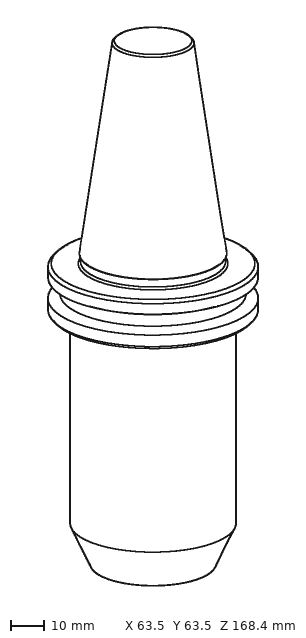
import cadquery as cq

total_height = 168.4
body_radius = 25.1
nose_radius = 19.0
flange_diameter = 63.5
flange_radius = flange_diameter / 2
groove_radius = 28.1
taper_radius = 22.2
neck_radius = 21.9
collar_radius = 24.6

nose_height = 13.1
flange_bottom = 80.8
flange_top = 96.7
gauge_height = 100.2
groove_floor_bottom = 87.0
groove_floor_top = 90.8

collar_height = 0.8
flange_chamfer = 1.0
groove_flank_height = 1.5
neck_flare = 0.7
gauge_land = 0.3
tip_chamfer = 0.7

taper_slope = 7 / 24 / 2
chamfer_height = total_height - tip_chamfer
shank_end_radius = taper_radius - taper_slope * (chamfer_height - gauge_height)

profile = [
    (0, 0),
    (nose_radius, 0),
    (body_radius, nose_height),
    (body_radius, flange_bottom - collar_height),
    (collar_radius, flange_bottom),
    (flange_radius - flange_chamfer, flange_bottom),
    (flange_radius, flange_bottom + flange_chamfer),
    (flange_radius, groove_floor_bottom - groove_flank_height),
    (groove_radius, groove_floor_bottom),
    (groove_radius, groove_floor_top),
    (flange_radius, groove_floor_top + groove_flank_height),
    (flange_radius, flange_top - flange_chamfer),
    (flange_radius - flange_chamfer, flange_top),
    (neck_radius + neck_flare, flange_top),
    (neck_radius, flange_top + neck_flare),
    (neck_radius, gauge_height - gauge_land),
    (taper_radius, gauge_height - gauge_land),
    (taper_radius, gauge_height),
    (shank_end_radius, chamfer_height),
    (shank_end_radius - tip_chamfer, total_height),
    (0, total_height),
]

result = cq.Workplane("XZ").polyline(profile).close().revolve(360, (0, 0, 0), (0, 1, 0))